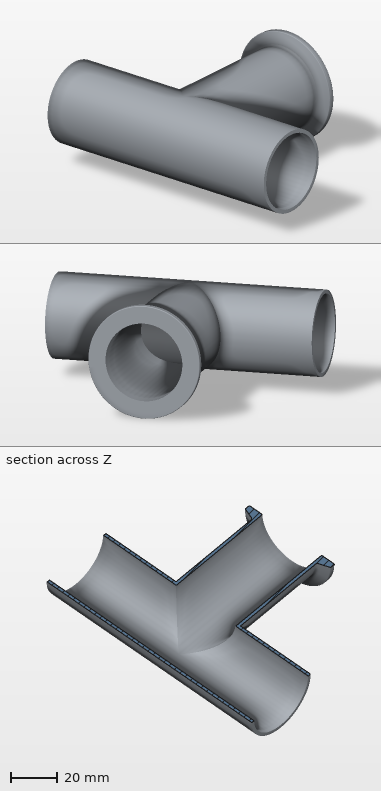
import cadquery as cq
import math

run_length = 120.6
tube_diameter = 38.1
bore_diameter = 34.7
branch_reach = 73.0

flange_diameter = 50.4
rim_width = 2.8
back_angle = 20.0
rim_fillet = 0.4
neck_fillet = 1.2

tube_radius = tube_diameter / 2
bore_radius = bore_diameter / 2
flange_radius = flange_diameter / 2
back_depth = (flange_radius - tube_radius) * math.tan(math.radians(back_angle))
rim_back = branch_reach - rim_width
neck_start = rim_back - back_depth


def run_cylinder(radius):
    """Cylinder along X, centred on the branch axis."""
    return cq.Workplane("YZ").circle(radius).extrude(run_length / 2, both=True)


def branch_cylinder(radius):
    """Cylinder along +Y from the run axis to the mating face."""
    return cq.Workplane("XZ").circle(radius).extrude(-branch_reach)


def circle_near(y):
    """Selector for the circular edges whose centre lies at height y along the branch."""
    margin = 0.1
    return cq.selectors.BoxSelector(
        (-flange_diameter, y - margin, -flange_diameter),
        (flange_diameter, y + margin, flange_diameter),
    )


def branch_with_ferrule():
    """Solid branch revolved about Y, ending in a clamp flange with a tapered back."""
    profile = (
        cq.Workplane("XY")
        .lineTo(tube_radius, 0)
        .lineTo(tube_radius, neck_start)
        .lineTo(flange_radius, rim_back)
        .lineTo(flange_radius, branch_reach)
        .lineTo(0, branch_reach)
        .close()
    )
    branch = profile.revolve(360, (0, 0), (0, 1))
    branch = branch.edges("%CIRCLE").edges(circle_near(neck_start)).fillet(neck_fillet)
    branch = branch.edges("%CIRCLE").edges(circle_near(rim_back)).fillet(rim_fillet)
    return branch.edges("%CIRCLE").edges(circle_near(branch_reach)).fillet(rim_fillet)


body = run_cylinder(tube_radius).union(branch_with_ferrule())
bores = run_cylinder(bore_radius).union(branch_cylinder(bore_radius))
result = body.cut(bores)